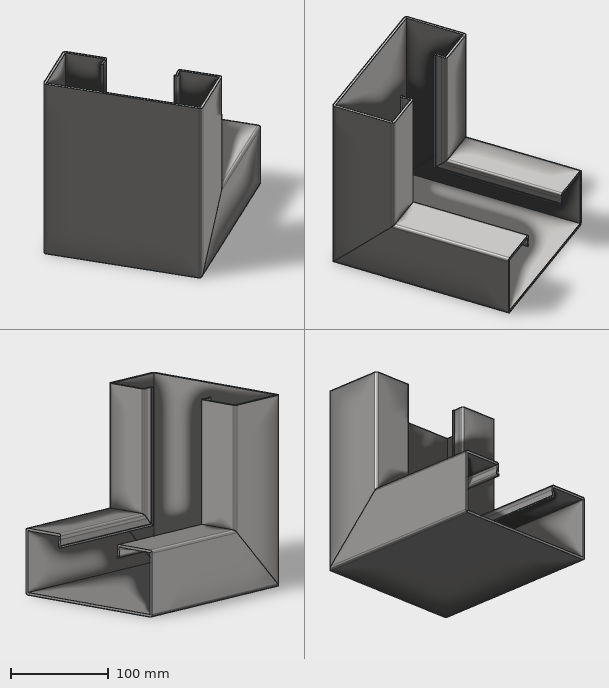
import cadquery as cq


leg_length = 200.0
width = 170.0
depth = 70.0
wall = 2.8
corner_radius = 3.0

opening = 76.6
edge_radius = 2.2
lip_length = 14.6
lip_wall = 2.2
lip_straight = 5.8
lip_slope = 0.7
hook_radius = 2.8
hook_thickness = 2.0
hook_overhang = 0.55

half_width = width / 2
half_opening = opening / 2


def half_section():
    """Half of the channel section on the +X side, with the closed back on the X axis."""
    inner_side = half_width - wall
    lip_inner = half_opening + lip_wall
    slope_start = depth - lip_straight
    hook_bottom = depth - lip_length
    hook_top = hook_bottom + hook_thickness
    hook_root = half_opening + lip_slope
    hook_outer = hook_root + lip_wall
    hook_tip = half_opening - hook_overhang
    return (
        cq.Workplane("XY")
        .moveTo(0, 0)
        .lineTo(half_width - corner_radius, 0)
        .radiusArc((half_width, corner_radius), -corner_radius)
        .lineTo(half_width, depth - corner_radius)
        .radiusArc((half_width - corner_radius, depth), -corner_radius)
        .lineTo(half_opening + edge_radius, depth)
        .radiusArc((half_opening, depth - edge_radius), -edge_radius)
        .lineTo(half_opening, slope_start)
        .lineTo(hook_root, hook_top)
        .lineTo(hook_tip, hook_top)
        .lineTo(hook_tip, hook_bottom)
        .lineTo(hook_outer - hook_radius, hook_bottom)
        .radiusArc((hook_outer, hook_bottom + hook_radius), -hook_radius)
        .lineTo(lip_inner, slope_start)
        .lineTo(lip_inner, depth - wall)
        .lineTo(inner_side, depth - wall)
        .lineTo(inner_side, wall)
        .lineTo(0, wall)
        .close()
    )


def upright_channel():
    """Channel standing along Z, cut off below by the mitre plane Y = Z."""
    half = half_section().extrude(leg_length)
    channel = half.union(half.mirror("YZ"))
    above_mitre = (
        cq.Workplane("YZ")
        .polyline([(0, 0), (leg_length, leg_length), (0, leg_length)])
        .close()
        .extrude(half_width, both=True)
    )
    return channel.intersect(above_mitre)


def lying_channel():
    """The upright channel turned half a turn about the mitre line, swapping Y and Z."""
    return upright_channel().rotate((0, 0, 0), (0, 1, 1), 180)


upright = upright_channel()
lying = lying_channel()

result = cq.Compound.makeCompound([upright.val(), lying.val()])